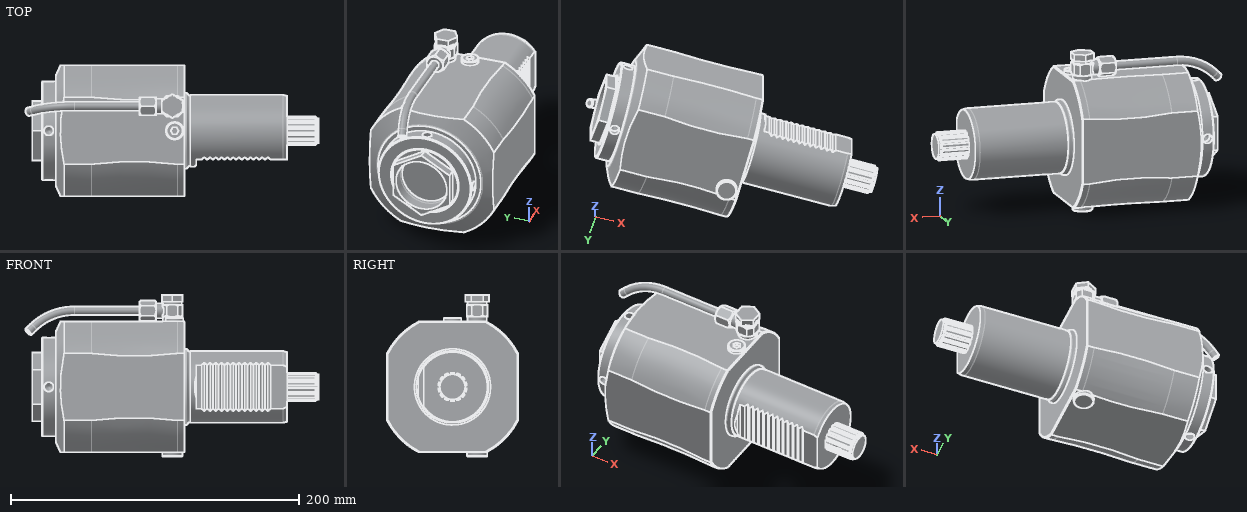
import cadquery as cq
import math


HEAD_FRONT_X = -89.7
CONE_END_X = -83.8
WAIST_FRONT_X = -64.9
WAIST_REAR_X = -5.3
CONE_FRONT_RADIUS = 39.0
FRONT_EDGE_BREAK_WIDTH = 1.0
FRONT_EDGE_BREAK_LENGTH = 0.5
HEAD_RADIUS = 51.0
WAIST_RADIUS = 50.2
HEAD_WIDTH = 91.0
HEAD_HALF_WIDTH = HEAD_WIDTH / 2
HEAD_REAR_CHAMFER = 0.6

COLLAR_FRONT_X = -99.3
COLLAR_RADIUS = 34.4
COLLAR_CHAMFER = 0.6
COLLAR_HOLE_X = -94.4
COLLAR_HOLE_RADIUS = 3.3
COLLAR_HOLE_DEPTH = 6.1
DRILL_POINT_ANGLE = 118.0
GAP_RADIUS = 25.0
GAP_WIDTH = 0.6
GAP_DEPTH = 0.6
NUT_FRONT_X = -106.0
NUT_ACROSS_FLATS = 41.5
BORE_RADIUS = 18.7
BORE_FLOOR_RADIUS = 18.1
BORE_STRAIGHT_DEPTH = 8.7
BORE_DEPTH = 10.8

FLANGE_RADIUS = 26.5
FLANGE_THICKNESS = 0.8
RELIEF_START_X = 3.3
RELIEF_RADIUS = 24.6
SHANK_START_X = 3.9
SHANK_END_X = 71.0
SHANK_RADIUS = 25.0
SHANK_CHAMFER_LENGTH = 3.0
SHANK_CHAMFER_DEPTH = 0.8
FLAT_START_X = 8.0
FLAT_DISTANCE = 20.0
FLAT_EDGE_BREAK = 1.2
GROOVE_COUNT = 12
FIRST_GROOVE_X = 13.5
LAST_GROOVE_X = 57.5
GROOVE_WIDTH = 3.7
GROOVE_DEPTH = 1.5

SPLINE_END_X = 92.8
SPLINE_TEETH_END_X = 91.3
SPLINE_TIP_RADIUS = 10.0
SPLINE_ROOT_RADIUS = 8.7
SPLINE_TOOTH_COUNT = 14
TOOTH_ROOT_WIDTH = 2.6
TOOTH_TIP_WIDTH = 1.6
SPLINE_CHAMFER = 0.8

FITTING_X = -8.7
FITTING_Y = 17.0
FITTING_RADIUS = 6.7
BOLT_TOP_Z = 63.9
BOLT_HEAD_HEIGHT = 4.9
BOLT_ACROSS_FLATS = 14.5
BLOCK_WIDTH = 14.5
BLOCK_FACE_WIDTH = 7.7
BLOCK_HEIGHT = 8.5
BLOCK_CORNER_CHAMFER = 0.8
PIPE_Z = 52.9
NECK_RADIUS = 5.3
PIPE_NUT_FRONT_X = -31.7
PIPE_NUT_REAR_X = -19.7
PIPE_NUT_RADIUS = 7.1
PIPE_NUT_CHAMFER = 1.2
PIPE_RADIUS = 3.0
PIPE_BEND_X = -76.7
PIPE_BEND_RADIUS = 40.0
PIPE_BEND_ANGLE = 45.0
PIPE_TIP_LENGTH = 5.5
PIPE_TIP_CHAMFER = 0.6
PIPE_TILT = 15.0

PLUG_X = -7.1
PLUG_RADIUS = 6.1
PLUG_HEIGHT = 2.6
PLUG_SOCKET_ACROSS_FLATS = 4.7
PLUG_SOCKET_DEPTH = 2.0
BOTTOM_SCREW_RADIUS = 7.1
BOTTOM_SCREW_Z = -48.5
SCREW_CHAMFER = 0.6

OVERLAP = 2.0


def x_rod(radius, start_x, end_x, y=0.0, z=0.0):
    """Round bar along X."""
    return cq.Workplane("YZ", origin=(start_x, y, z)).circle(radius).extrude(end_x - start_x)


def x_hexagon(corner_radius, start_x, end_x, y=0.0, z=0.0):
    """Hexagonal bar along X with corners pointing up and down."""
    profile = cq.Workplane("YZ", origin=(start_x, y, z)).transformed(rotate=(0, 0, 90))
    return profile.polygon(6, 2 * corner_radius).extrude(end_x - start_x)


def corner_radius_of(across_flats):
    return across_flats / math.sqrt(3)


def make_head():
    mid_x = (WAIST_FRONT_X + WAIST_REAR_X) / 2
    turned = (
        cq.Workplane("XY")
        .moveTo(HEAD_FRONT_X, 0)
        .lineTo(HEAD_FRONT_X, CONE_FRONT_RADIUS - FRONT_EDGE_BREAK_WIDTH)
        .lineTo(HEAD_FRONT_X + FRONT_EDGE_BREAK_LENGTH, CONE_FRONT_RADIUS)
        .lineTo(CONE_END_X, HEAD_RADIUS)
        .lineTo(WAIST_FRONT_X, HEAD_RADIUS)
        .threePointArc((mid_x, WAIST_RADIUS), (WAIST_REAR_X, HEAD_RADIUS))
        .lineTo(0, HEAD_RADIUS)
        .lineTo(0, 0)
        .close()
        .revolve(360, (0, 0, 0), (1, 0, 0))
    )
    square = cq.Workplane("YZ", origin=(HEAD_FRONT_X, 0, 0)).rect(
        HEAD_WIDTH, HEAD_WIDTH).extrude(-HEAD_FRONT_X)
    return turned.intersect(square).faces(">X").edges().chamfer(HEAD_REAR_CHAMFER)


def make_collar():
    collar = x_rod(COLLAR_RADIUS, COLLAR_FRONT_X, HEAD_FRONT_X + OVERLAP)
    collar = collar.faces("<X").edges().chamfer(COLLAR_CHAMFER)
    gap = (
        cq.Workplane("YZ", origin=(COLLAR_FRONT_X, 0, 0))
        .circle(GAP_RADIUS)
        .circle(GAP_RADIUS - GAP_WIDTH)
        .extrude(GAP_DEPTH)
    )
    collar = collar.cut(gap)
    floor_z = COLLAR_RADIUS - COLLAR_HOLE_DEPTH
    point_depth = COLLAR_HOLE_RADIUS / math.tan(math.radians(DRILL_POINT_ANGLE / 2))
    hole = (
        cq.Workplane("XZ")
        .polyline([
            (0, floor_z - point_depth),
            (COLLAR_HOLE_RADIUS, floor_z),
            (COLLAR_HOLE_RADIUS, COLLAR_RADIUS + OVERLAP),
            (0, COLLAR_RADIUS + OVERLAP),
        ])
        .close()
        .revolve(360, (0, 0, 0), (0, 1, 0))
        .translate((COLLAR_HOLE_X, 0, 0))
    )
    for angle in range(0, 360, 90):
        collar = collar.cut(hole.rotate((0, 0, 0), (1, 0, 0), angle))
    return collar


def make_nut():
    return x_hexagon(corner_radius_of(NUT_ACROSS_FLATS), NUT_FRONT_X, COLLAR_FRONT_X + OVERLAP)


def make_bore():
    return (
        cq.Workplane("XY")
        .moveTo(NUT_FRONT_X, 0)
        .lineTo(NUT_FRONT_X, BORE_RADIUS)
        .lineTo(NUT_FRONT_X + BORE_STRAIGHT_DEPTH, BORE_RADIUS)
        .lineTo(NUT_FRONT_X + BORE_DEPTH, BORE_FLOOR_RADIUS)
        .lineTo(NUT_FRONT_X + BORE_DEPTH, 0)
        .close()
        .revolve(360, (0, 0, 0), (1, 0, 0))
    )


def make_flat_cutter():
    """Everything in front of the shank flat, with the step's outer edge broken."""
    outer = SHANK_RADIUS + OVERLAP
    end_x = SHANK_END_X + OVERLAP
    profile = [
        (FLAT_START_X, -FLAT_DISTANCE),
        (FLAT_START_X, -SHANK_RADIUS + FLAT_EDGE_BREAK),
        (FLAT_START_X - FLAT_EDGE_BREAK - OVERLAP, -outer),
        (end_x, -outer),
        (end_x, -FLAT_DISTANCE),
    ]
    return cq.Workplane("XY").polyline(profile).close().extrude(SHANK_RADIUS, both=True)


def make_shank():
    flange = (
        cq.Workplane("XY")
        .moveTo(-OVERLAP, 0)
        .lineTo(-OVERLAP, FLANGE_RADIUS)
        .lineTo(FLANGE_THICKNESS, FLANGE_RADIUS)
        .spline([(RELIEF_START_X, RELIEF_RADIUS)], tangents=[(1, 0), (1, 0)], includeCurrent=True)
        .lineTo(SHANK_START_X, RELIEF_RADIUS)
        .lineTo(SHANK_START_X, 0)
        .close()
        .revolve(360, (0, 0, 0), (1, 0, 0))
    )
    shank = x_rod(SHANK_RADIUS, SHANK_START_X, SHANK_END_X).faces(">X").edges()
    shank = shank.chamfer(SHANK_CHAMFER_LENGTH, SHANK_CHAMFER_DEPTH)
    shank = shank.cut(make_flat_cutter())

    outer = SHANK_RADIUS
    root_y = -FLAT_DISTANCE + GROOVE_DEPTH
    outer_half_width = GROOVE_WIDTH / 2 * (outer + root_y) / GROOVE_DEPTH
    groove = (
        cq.Workplane("XY")
        .polyline([(0, root_y), (-outer_half_width, -outer), (outer_half_width, -outer)])
        .close()
        .extrude(SHANK_RADIUS, both=True)
    )
    toothed_zone = cq.Workplane("XY", origin=(FLAT_START_X, -outer, 0)).box(
        SHANK_END_X - FLAT_START_X, outer, 2 * outer, centered=(False, False, True))
    groove_zone = groove.translate((FIRST_GROOVE_X, 0, 0)).intersect(toothed_zone)
    groove_pitch = (LAST_GROOVE_X - FIRST_GROOVE_X) / (GROOVE_COUNT - 1)
    for index in range(GROOVE_COUNT):
        shank = shank.cut(groove_zone.translate((index * groove_pitch, 0, 0)))
    return flange.union(shank)


def make_spline():
    start_x = SHANK_END_X - OVERLAP
    core = x_rod(SPLINE_ROOT_RADIUS, start_x, SPLINE_END_X)
    tooth_base_z = SPLINE_ROOT_RADIUS - OVERLAP
    tooth_profile = [
        (-TOOTH_ROOT_WIDTH / 2, tooth_base_z),
        (-TOOTH_ROOT_WIDTH / 2, SPLINE_ROOT_RADIUS),
        (-TOOTH_TIP_WIDTH / 2, SPLINE_TIP_RADIUS + OVERLAP),
        (TOOTH_TIP_WIDTH / 2, SPLINE_TIP_RADIUS + OVERLAP),
        (TOOTH_ROOT_WIDTH / 2, SPLINE_ROOT_RADIUS),
        (TOOTH_ROOT_WIDTH / 2, tooth_base_z),
    ]
    blank = x_rod(SPLINE_TIP_RADIUS, start_x, SPLINE_TEETH_END_X)
    blank = blank.faces(">X").edges().chamfer(SPLINE_CHAMFER)
    tooth = (
        cq.Workplane("YZ", origin=(start_x, 0, 0))
        .polyline(tooth_profile)
        .close()
        .extrude(SPLINE_TEETH_END_X - start_x)
        .intersect(blank)
    )
    for index in range(SPLINE_TOOTH_COUNT):
        angle = 360 * index / SPLINE_TOOTH_COUNT
        core = core.union(tooth.rotate((0, 0, 0), (1, 0, 0), angle))
    return core


def make_fitting():
    """Banjo bolt, its faceted ring and the neck that carries the pipe nut."""
    head_bottom_z = BOLT_TOP_Z - BOLT_HEAD_HEIGHT
    base_z = HEAD_HALF_WIDTH - OVERLAP
    axis = cq.Workplane("XY", origin=(FITTING_X, FITTING_Y, 0))
    stem = axis.workplane(offset=base_z).circle(FITTING_RADIUS).extrude(head_bottom_z - base_z)
    bolt_head = (
        axis.workplane(offset=head_bottom_z)
        .transformed(rotate=(0, 0, 90))
        .polygon(6, 2 * corner_radius_of(BOLT_ACROSS_FLATS))
        .extrude(BOLT_HEAD_HEIGHT)
    )
    block = (
        axis.workplane(offset=PIPE_Z)
        .box(BLOCK_WIDTH, BLOCK_WIDTH, BLOCK_HEIGHT)
        .edges("|Z")
        .chamfer((BLOCK_WIDTH - BLOCK_FACE_WIDTH) / 2)
    )
    block_corner_radius = math.hypot(BLOCK_WIDTH, BLOCK_FACE_WIDTH) / 2
    rounding = axis.workplane(offset=PIPE_Z - BLOCK_HEIGHT / 2).circle(block_corner_radius)
    rounding = rounding.extrude(BLOCK_HEIGHT).edges().chamfer(BLOCK_CORNER_CHAMFER)
    block = block.intersect(rounding)
    neck = x_rod(NECK_RADIUS, PIPE_NUT_REAR_X - OVERLAP, FITTING_X, FITTING_Y, PIPE_Z)
    return stem.union(bolt_head).union(block).union(neck)


def make_pipe_nut():
    place = (PIPE_NUT_FRONT_X, PIPE_NUT_REAR_X, FITTING_Y, PIPE_Z)
    rounding = x_rod(PIPE_NUT_RADIUS, *place).faces("<X or >X").edges().chamfer(PIPE_NUT_CHAMFER)
    return x_hexagon(PIPE_NUT_RADIUS, *place).intersect(rounding)


def make_pipe():
    """Straight pipe, bent down at the front; the bend leans toward the spindle axis."""
    angle = math.radians(PIPE_BEND_ANGLE)
    bend_centre_z = PIPE_Z - PIPE_BEND_RADIUS

    def on_bend(turn):
        return (
            PIPE_BEND_X - PIPE_BEND_RADIUS * math.sin(turn),
            bend_centre_z + PIPE_BEND_RADIUS * math.cos(turn),
        )

    bend_end = on_bend(angle)
    tip = (
        bend_end[0] - PIPE_TIP_LENGTH * math.cos(angle),
        bend_end[1] - PIPE_TIP_LENGTH * math.sin(angle),
    )
    start_x = PIPE_NUT_FRONT_X + OVERLAP
    path = (
        cq.Workplane("XZ", origin=(0, FITTING_Y, 0))
        .moveTo(start_x, PIPE_Z)
        .lineTo(PIPE_BEND_X, PIPE_Z)
        .threePointArc(on_bend(angle / 2), bend_end)
        .lineTo(*tip)
    )
    pipe = cq.Workplane("YZ", origin=(start_x, FITTING_Y, PIPE_Z)).circle(PIPE_RADIUS).sweep(path)
    pipe = pipe.faces("<X").edges().chamfer(PIPE_TIP_CHAMFER)
    return pipe.rotate((0, FITTING_Y, PIPE_Z), (1, FITTING_Y, PIPE_Z), -PIPE_TILT)


def make_plug():
    plug = (
        cq.Workplane("XY", origin=(PLUG_X, 0, HEAD_HALF_WIDTH - OVERLAP))
        .circle(PLUG_RADIUS)
        .extrude(PLUG_HEIGHT + OVERLAP)
        .faces(">Z")
        .chamfer(SCREW_CHAMFER)
    )
    socket = (
        cq.Workplane("XY", origin=(PLUG_X, 0, HEAD_HALF_WIDTH + PLUG_HEIGHT))
        .polygon(6, 2 * corner_radius_of(PLUG_SOCKET_ACROSS_FLATS))
        .extrude(-PLUG_SOCKET_DEPTH)
    )
    return plug.cut(socket)


def make_bottom_screw():
    return (
        cq.Workplane("XY", origin=(FITTING_X, FITTING_Y, BOTTOM_SCREW_Z))
        .circle(BOTTOM_SCREW_RADIUS)
        .extrude(-HEAD_HALF_WIDTH + OVERLAP - BOTTOM_SCREW_Z)
        .faces("<Z")
        .chamfer(SCREW_CHAMFER)
    )


result = (
    make_head()
    .union(make_collar())
    .union(make_nut())
    .cut(make_bore())
    .union(make_shank())
    .union(make_spline())
    .union(make_fitting())
    .union(make_pipe_nut())
    .union(make_pipe())
    .union(make_plug())
    .union(make_bottom_screw())
)